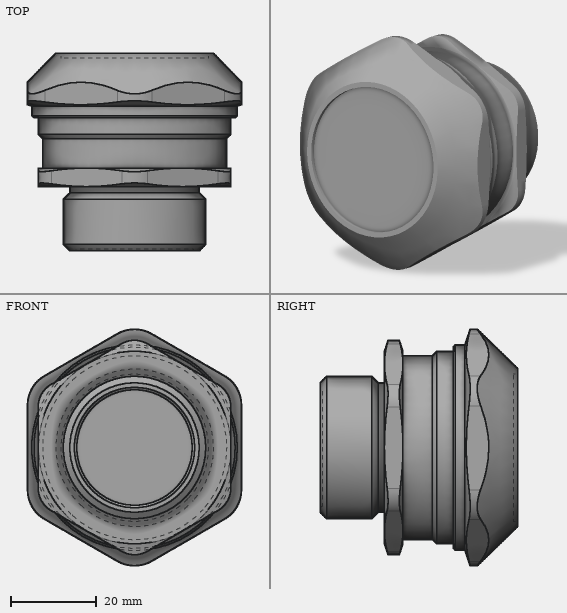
import cadquery as cq
import math


TOTAL_LENGTH = 46.2
THREAD_END = 13.6
BODY_HEX_START = 15.05
BODY_HEX_END = 19.35
SLEEVE_END = 26.25
COLLAR_END = 31.1
NUT_START = 33.8
NUT_FLATS_END = 39.4

THREAD_DIAMETER = 33.25
NECK_DIAMETER = 30.2
SLEEVE_DIAMETER = 43.0
COLLAR_DIAMETER = 45.0
RING_DIAMETER = 48.0
CAP_FACE_DIAMETER = 36.8

THREAD_CHAMFER = (THREAD_DIAMETER - NECK_DIAMETER) / 2
COLLAR_CHAMFER = (COLLAR_DIAMETER - SLEEVE_DIAMETER) / 2
RING_CHAMFER = 0.5

BODY_HEX_FLATS = COLLAR_DIAMETER
BODY_HEX_ROUNDING = 6.0
BODY_HEX_CONE_SLOPE = 0.33
NUT_FLATS = 50.0
NUT_ROUNDING = 8.0
NUT_FRONT_CONE_SLOPE = 0.34
NUT_REAR_CONE_SLOPE = (TOTAL_LENGTH - NUT_FLATS_END) / ((NUT_FLATS - CAP_FACE_DIAMETER) / 2)

FRONT_RECESS_MOUTH = 28.1
FRONT_RECESS_FLOOR = 26.95
FRONT_RECESS_DEPTH = 0.55
REAR_RECESS_DIAMETER = 34.4
REAR_RECESS_DEPTH = 1.1


def revolve(profile):
    """Turn a closed (radius, y) profile about the Y axis."""
    return profile.close().revolve(360, (0, 0, 0), (0, 1, 0))


def cylinder(diameter, start, end):
    return cq.Workplane("XZ", origin=(0, start, 0)).circle(diameter / 2).extrude(start - end)


def rounded_hexagon(flats, rounding, start, end):
    """Hexagonal prism with flats facing +/-X and rounded corners."""
    corner_diameter = flats / math.cos(math.radians(30))
    return (
        cq.Workplane("XZ", origin=(0, start, 0))
        .polygon(6, corner_diameter)
        .extrude(start - end)
        .edges("|Y")
        .fillet(rounding)
        .rotate((0, 0, 0), (0, 1, 0), 30)
    )


def coned_hexagon(flats, rounding, start, end, front_diameter, rear_diameter, front_slope, rear_slope):
    """Rounded hexagon whose corners are trimmed by a cone at each end."""
    corner_radius = flats / 2 / math.cos(math.radians(30))
    front_radius = front_diameter / 2
    rear_radius = rear_diameter / 2
    front_cone_end = start + front_slope * (corner_radius - front_radius)
    rear_cone_start = end - rear_slope * (corner_radius - rear_radius)
    envelope = revolve(
        cq.Workplane("XY")
        .moveTo(0, start)
        .lineTo(front_radius, start)
        .lineTo(corner_radius, front_cone_end)
        .lineTo(corner_radius, rear_cone_start)
        .lineTo(rear_radius, end)
        .lineTo(0, end)
    )
    return rounded_hexagon(flats, rounding, start, end).intersect(envelope)


thread = cylinder(THREAD_DIAMETER, 0, THREAD_END).faces("<Y or >Y").chamfer(THREAD_CHAMFER)
neck = cylinder(NECK_DIAMETER, THREAD_END, BODY_HEX_START)

sleeve = cylinder(SLEEVE_DIAMETER, BODY_HEX_END, SLEEVE_END)
collar = cylinder(COLLAR_DIAMETER, SLEEVE_END, COLLAR_END)
collar = collar.faces("<Y").chamfer(COLLAR_CHAMFER)
ring = cylinder(RING_DIAMETER, COLLAR_END, NUT_START).faces("<Y").chamfer(RING_CHAMFER)

body_hexagon = coned_hexagon(
    BODY_HEX_FLATS, BODY_HEX_ROUNDING, BODY_HEX_START, BODY_HEX_END,
    BODY_HEX_FLATS, BODY_HEX_FLATS, BODY_HEX_CONE_SLOPE, BODY_HEX_CONE_SLOPE,
)

cap_nut = coned_hexagon(
    NUT_FLATS, NUT_ROUNDING, NUT_START, TOTAL_LENGTH,
    RING_DIAMETER, CAP_FACE_DIAMETER, NUT_FRONT_CONE_SLOPE, NUT_REAR_CONE_SLOPE,
)

front_recess = revolve(
    cq.Workplane("XY")
    .lineTo(FRONT_RECESS_MOUTH / 2, 0)
    .lineTo(FRONT_RECESS_FLOOR / 2, FRONT_RECESS_DEPTH)
    .lineTo(0, FRONT_RECESS_DEPTH)
)
rear_recess = cylinder(REAR_RECESS_DIAMETER, TOTAL_LENGTH - REAR_RECESS_DEPTH, TOTAL_LENGTH)

result = thread
for section in (neck, body_hexagon, sleeve, collar, ring, cap_nut):
    result = result.union(section)
result = result.cut(front_recess).cut(rear_recess)